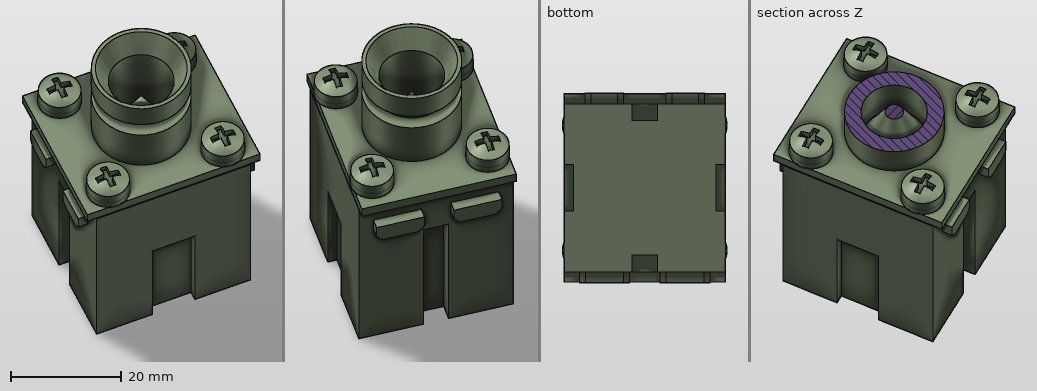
import cadquery as cq
import math

TOTAL_HEIGHT = 54.6
PLATE_TOP = 37.4
PLATE_THICKNESS = 1.95
PLATE_GAP = 0.3
PLATE_BOTTOM = PLATE_TOP - PLATE_THICKNESS
HOUSING_TOP = PLATE_BOTTOM - PLATE_GAP

HOUSING_LENGTH = 29.25
HOUSING_WIDTH = 30.45
Y_SLOT_WIDTH = 4.7
Y_SLOT_HEIGHT = 25.7
Y_SLOT_DEPTH = 3.05
X_SLOT_WIDTH = 8.4
X_SLOT_HEIGHT = 19.35
X_SLOT_DEPTH = 1.75

LUG_SPAN = 34.4
LUG_SPACING = 14.65
LUG_TOP = 31.5
LUG_HEIGHT = 3.6
LUG_CHAMFER = 1.1
FRONT_LUG_LENGTH = 7.0
BACK_LUG_LENGTH = 9.05
LUG_PROJECTION = (LUG_SPAN - HOUSING_WIDTH) / 2

PLATE_LENGTH = HOUSING_LENGTH
PLATE_WIDTH = 34.2
NECK_RADIUS = 9.05
GROOVE_RADIUS = 6.65
GROOVE_BOTTOM = 46.6
GROOVE_TOP = 49.75
BORE_RADIUS = 5.95
MOUTH_RADIUS = 8.3
MOUTH_DEPTH = 3.8

SCREW_SPACING_X = 21.9
SCREW_SPACING_Y = 22.7
HEAD_RADIUS = 4.0
HEAD_RIM_HEIGHT = 1.3
SHOULDER_RADIUS = 3.9
SHOULDER_HEIGHT = 3.15
HEAD_HEIGHT = 4.4
CROSS_LENGTH = 4.5
CROSS_WIDTH = 1.15
CROSS_DEPTH = 1.5

CONE_HEIGHT = 11.2


def block(length, width, height, x=0.0, y=0.0, z=0.0):
    """Box centred on (x, y) with its bottom at z."""
    return cq.Workplane("XY").box(length, width, height, centered=(True, True, False)).translate((x, y, z))


def make_lug(length):
    """Latch lug with its two lower corners cut off."""
    return block(length, LUG_PROJECTION, LUG_HEIGHT).edges("<Z and |Y").chamfer(LUG_CHAMFER)


def make_housing():
    body = block(HOUSING_LENGTH, HOUSING_WIDTH, HOUSING_TOP)

    for side in (-1, 1):
        y_face = side * HOUSING_WIDTH / 2
        x_face = side * HOUSING_LENGTH / 2
        body = body.cut(block(Y_SLOT_WIDTH, 2 * Y_SLOT_DEPTH, Y_SLOT_HEIGHT, y=y_face))
        body = body.cut(block(2 * X_SLOT_DEPTH, X_SLOT_WIDTH, X_SLOT_HEIGHT, x=x_face))

    for y_side, lug_length in ((-1, FRONT_LUG_LENGTH), (1, BACK_LUG_LENGTH)):
        lug = make_lug(lug_length)
        lug_y = y_side * (HOUSING_WIDTH + LUG_PROJECTION) / 2
        for x_side in (-1, 1):
            lug_x = x_side * LUG_SPACING / 2
            body = body.union(lug.translate((lug_x, lug_y, LUG_TOP - LUG_HEIGHT)))
    return body


def make_screw_head():
    """Domed screw head with a cross recess, its bottom at Z = 0."""
    dome_rise = HEAD_HEIGHT - SHOULDER_HEIGHT
    dome_radius = (SHOULDER_RADIUS**2 + dome_rise**2) / (2 * dome_rise)
    mid_radius = SHOULDER_RADIUS / 2
    mid_height = HEAD_HEIGHT - dome_radius + math.sqrt(dome_radius**2 - mid_radius**2)
    head = (
        cq.Workplane("XZ")
        .lineTo(HEAD_RADIUS, 0)
        .lineTo(HEAD_RADIUS, HEAD_RIM_HEIGHT)
        .lineTo(SHOULDER_RADIUS, SHOULDER_HEIGHT)
        .threePointArc((mid_radius, mid_height), (0, HEAD_HEIGHT))
        .close()
        .revolve()
    )
    recess_floor = HEAD_HEIGHT - CROSS_DEPTH
    head = head.cut(block(CROSS_LENGTH, CROSS_WIDTH, CROSS_DEPTH, z=recess_floor))
    return head.cut(block(CROSS_WIDTH, CROSS_LENGTH, CROSS_DEPTH, z=recess_floor))


def make_neck():
    """Solid neck with a ring groove around it."""
    return (
        cq.Workplane("XZ")
        .moveTo(0, PLATE_TOP)
        .lineTo(NECK_RADIUS, PLATE_TOP)
        .lineTo(NECK_RADIUS, GROOVE_BOTTOM)
        .lineTo(GROOVE_RADIUS, GROOVE_BOTTOM)
        .lineTo(GROOVE_RADIUS, GROOVE_TOP)
        .lineTo(NECK_RADIUS, GROOVE_TOP)
        .lineTo(NECK_RADIUS, TOTAL_HEIGHT)
        .lineTo(0, TOTAL_HEIGHT)
        .close()
        .revolve()
    )


def make_bore():
    """Cutter for the bore through neck and plate, with its flared mouth."""
    return (
        cq.Workplane("XZ")
        .moveTo(0, PLATE_BOTTOM)
        .lineTo(BORE_RADIUS, PLATE_BOTTOM)
        .lineTo(BORE_RADIUS, TOTAL_HEIGHT - MOUTH_DEPTH)
        .lineTo(MOUTH_RADIUS, TOTAL_HEIGHT)
        .lineTo(0, TOTAL_HEIGHT)
        .close()
        .revolve()
    )


def make_cover():
    """Plate, neck and four screw heads as one body."""
    plate = block(PLATE_LENGTH, PLATE_WIDTH, PLATE_THICKNESS, z=PLATE_BOTTOM)
    body = plate.union(make_neck()).cut(make_bore())
    head = make_screw_head()
    for x_side in (-1, 1):
        for y_side in (-1, 1):
            head_x = x_side * SCREW_SPACING_X / 2
            head_y = y_side * SCREW_SPACING_Y / 2
            body = body.union(head.translate((head_x, head_y, PLATE_TOP)))
    return body


def make_cone():
    """Pointed cone as wide as the bore at its base."""
    return (
        cq.Workplane("XZ")
        .moveTo(0, HOUSING_TOP)
        .lineTo(BORE_RADIUS, HOUSING_TOP)
        .lineTo(0, HOUSING_TOP + CONE_HEIGHT)
        .close()
        .revolve()
    )


housing = make_housing()
cover = make_cover()
cone = make_cone()

result = cq.Compound.makeCompound([housing.solids().val(), cover.solids().val(), cone.val()])